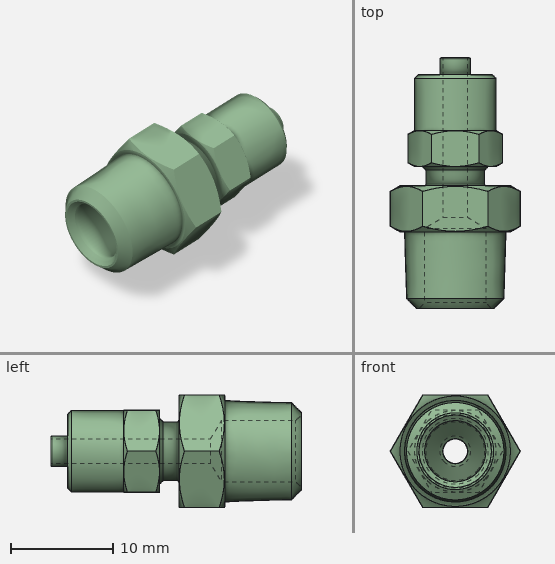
import cadquery as cq
import math

TOTAL_LENGTH = 24.5

BODY_HEX_START = 7.5
BODY_HEX_END = 12.0
NUT_HEX_START = 13.87
NUT_HEX_END = 17.4
NUT_END = 22.85

BODY_HEX_FLATS = 11.0
BODY_HEX_FACE_RADIUS = 5.4
NUT_HEX_FLATS = 8.0
NUT_HEX_FACE_RADIUS = 3.97
HEX_CHAMFER_ANGLE = 30.0

THREAD_TIP_RADIUS = 4.75
THREAD_TAPER = 1 / 16
THREAD_CHAMFER = 1.0

NECK_RADIUS = 2.87
NECK_BODY_FILLET = 0.17
NECK_NUT_CHAMFER = 0.35
SLEEVE_RADIUS = 4.0
SLEEVE_CHAMFER = 0.4
TUBE_RADIUS = 1.5
TUBE_FILLET = 0.15

THROUGH_RADIUS = 1.2
BORE_RADIUS = 3.0
BORE_DEPTH = 7.85
BORE_MOUTH_RADIUS = 3.53
BORE_MOUTH_DEPTH = 0.61
DRILL_POINT_ANGLE = 118.0


def revolve_about_y(profile):
    """Turn a closed half profile, drawn as (radius, Y), about the Y axis."""
    return profile.close().revolve(360, (0, 0, 0), (0, 1, 0))


def hexagon(flats, start, end, face_radius):
    """Hexagonal prism with corners on the X axis and both ends turned to a cone."""
    length = end - start
    corner_radius = flats / math.sqrt(3)
    slope = math.tan(math.radians(HEX_CHAMFER_ANGLE))
    chamfer = (corner_radius - face_radius) * slope
    prism = (
        cq.Workplane("XZ", origin=(0, start, 0))
        .polygon(6, 2 * corner_radius)
        .extrude(-length)
    )
    envelope = revolve_about_y(
        cq.Workplane("XY")
        .moveTo(0, start)
        .lineTo(face_radius, start)
        .lineTo(corner_radius, start + chamfer)
        .lineTo(corner_radius, end - chamfer)
        .lineTo(face_radius, end)
        .lineTo(0, end)
    )
    return prism.intersect(envelope)


def thread_end():
    """Tapered spigot with a chamfered tip."""
    taper_length = BODY_HEX_START - THREAD_CHAMFER
    root_radius = THREAD_TIP_RADIUS + taper_length * THREAD_TAPER / 2
    return revolve_about_y(
        cq.Workplane("XY")
        .lineTo(THREAD_TIP_RADIUS - THREAD_CHAMFER, 0)
        .lineTo(THREAD_TIP_RADIUS, THREAD_CHAMFER)
        .lineTo(root_radius, BODY_HEX_START)
        .lineTo(0, BODY_HEX_START)
    )


def neck():
    """Round neck between the hexagons, with a fillet at the body and a 45 degree cone at the nut."""
    body_flare = NECK_RADIUS + NECK_BODY_FILLET
    nut_flare = NECK_RADIUS + NECK_NUT_CHAMFER
    return revolve_about_y(
        cq.Workplane("XY")
        .moveTo(0, BODY_HEX_END)
        .lineTo(body_flare, BODY_HEX_END)
        .radiusArc((NECK_RADIUS, BODY_HEX_END + NECK_BODY_FILLET), NECK_BODY_FILLET)
        .lineTo(NECK_RADIUS, NUT_HEX_START - NECK_NUT_CHAMFER)
        .lineTo(nut_flare, NUT_HEX_START)
        .lineTo(0, NUT_HEX_START)
    )


def sleeve_and_tube():
    """Round nut sleeve with a chamfered end and the tube standing out of it."""
    return revolve_about_y(
        cq.Workplane("XY")
        .moveTo(0, NUT_HEX_END)
        .lineTo(SLEEVE_RADIUS, NUT_HEX_END)
        .lineTo(SLEEVE_RADIUS, NUT_END - SLEEVE_CHAMFER)
        .lineTo(SLEEVE_RADIUS - SLEEVE_CHAMFER, NUT_END)
        .lineTo(TUBE_RADIUS, NUT_END)
        .lineTo(TUBE_RADIUS, TOTAL_LENGTH - TUBE_FILLET)
        .radiusArc((TUBE_RADIUS - TUBE_FILLET, TOTAL_LENGTH), -TUBE_FILLET)
        .lineTo(0, TOTAL_LENGTH)
    )


def bore():
    """Countersunk bore with a drill-point floor, continued by the through hole."""
    half_angle = math.radians(DRILL_POINT_ANGLE / 2)
    point_length = (BORE_RADIUS - THROUGH_RADIUS) / math.tan(half_angle)
    return revolve_about_y(
        cq.Workplane("XY")
        .lineTo(BORE_MOUTH_RADIUS, 0)
        .lineTo(BORE_RADIUS, BORE_MOUTH_DEPTH)
        .lineTo(BORE_RADIUS, BORE_DEPTH)
        .lineTo(THROUGH_RADIUS, BORE_DEPTH + point_length)
        .lineTo(THROUGH_RADIUS, TOTAL_LENGTH)
        .lineTo(0, TOTAL_LENGTH)
    )


body_hex = hexagon(BODY_HEX_FLATS, BODY_HEX_START, BODY_HEX_END, BODY_HEX_FACE_RADIUS)
nut_hex = hexagon(NUT_HEX_FLATS, NUT_HEX_START, NUT_HEX_END, NUT_HEX_FACE_RADIUS)

result = (
    thread_end()
    .union(body_hex)
    .union(neck())
    .union(nut_hex)
    .union(sleeve_and_tube())
    .cut(bore())
)